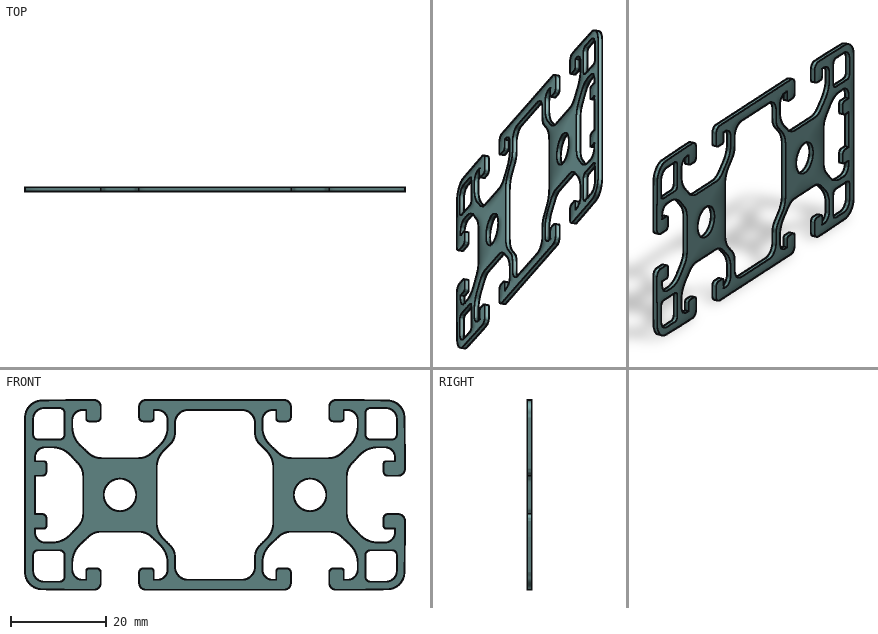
import cadquery as cq
import math

cell = 40.0
length = 2 * cell
half_height = cell / 2
half_length = length / 2
thickness = 1.0
cell_offset = cell / 2
bore_diameter = 6.8

corner_radius = 3.7
corner_drop = 0.2
drop_start = 8.9

slot_opening = 8.0
lip_width = 3.1
lip_depth = 4.6
lip_wall = 2.2
slot_half_width = 10.0
slot_floor = 7.8
slot_floor_half_width = 5.5
slot_diagonal_top = 12.0
slot_top_radius = 2.1
slot_side_radius = 5.2
slot_floor_radius = 3.8
lip_outer_radius = 1.5
lip_opening_radius = 1.0
lip_inner_radius = 0.6

corner_hole_start = 11.7
corner_hole_end = 18.2
corner_hole_outer_radius = 2.2
corner_hole_radius = 1.0

chamber_half_width = 8.4
chamber_waist = cell_offset - slot_floor
chamber_shoulder = 11.7
chamber_top_radius = 2.7
chamber_shoulder_radius = 3.2
chamber_waist_radius = 4.8


def rounded_outline(corners):
    """Closed XZ wire through (x, z, radius) corners, each rounded by a tangent arc."""
    rounded = []
    for i, (x, z, radius) in enumerate(corners):
        here = cq.Vector(x, z)
        before = (cq.Vector(*corners[i - 1][:2]) - here).normalized()
        after = (cq.Vector(*corners[(i + 1) % len(corners)][:2]) - here).normalized()
        half_angle = before.getAngle(after) / 2
        setback = radius / math.tan(half_angle)
        bisector = (before + after).normalized()
        middle = here + bisector * (radius / math.sin(half_angle) - radius)
        rounded.append((here + before * setback, middle, here + after * setback, radius))

    wire = cq.Workplane("XZ").moveTo(*rounded[0][2].toTuple()[:2])
    for start, middle, end, radius in rounded[1:] + rounded[:1]:
        wire = wire.lineTo(*start.toTuple()[:2])
        if radius > 0:
            wire = wire.threePointArc(middle.toTuple()[:2], end.toTuple()[:2])
    return wire.close()


def prism(corners):
    """Solid of the plate thickness with the given rounded outline."""
    return rounded_outline(corners).extrude(thickness / 2, both=True)


def mirrored(half):
    """Complete an outline from its +X half by mirroring it about X = 0."""
    return half + [(-x, z, radius) for x, z, radius in reversed(half)]


def plate():
    """Outer outline of the section."""
    flat_end = cell_offset + drop_start
    low = half_height - corner_drop
    upper = [
        (half_length, drop_start, 0),
        (half_length - corner_drop, low, corner_radius),
        (flat_end, half_height, 0),
        (-flat_end, half_height, 0),
        (-half_length, low, corner_radius),
    ]
    lower = [(x, -z, radius) for x, z, radius in reversed(upper)]
    return prism(upper + lower)


def slot_cavity():
    """Undercut space of an upward-facing slot, closed off at the lip wall."""
    lip_edge = slot_opening / 2
    lip_back = lip_edge + lip_width
    roof = half_height - lip_wall
    lip_bottom = half_height - lip_depth
    return prism(mirrored([
        (lip_edge, roof, 0),
        (lip_edge, lip_bottom, lip_opening_radius),
        (lip_back, lip_bottom, lip_inner_radius),
        (lip_back, roof, 0),
        (slot_half_width, roof, slot_top_radius),
        (slot_half_width, slot_diagonal_top, slot_side_radius),
        (slot_floor_half_width, slot_floor, slot_floor_radius),
    ]))


def slot_mouth():
    """Opening through the outer face, flared around the rounded lip ends."""
    lip_edge = slot_opening / 2
    roof = half_height - lip_wall
    above = half_height + lip_outer_radius
    return prism(mirrored([
        (lip_edge + 2 * lip_outer_radius, above, 0),
        (lip_edge + 2 * lip_outer_radius, half_height, 0),
        (lip_edge, half_height, lip_outer_radius),
        (lip_edge, roof, 0),
    ]))


def corner_hole():
    """Square hole in the upper +X corner of a cell."""
    return prism([
        (corner_hole_start, corner_hole_start, corner_hole_radius),
        (corner_hole_end, corner_hole_start, corner_hole_radius),
        (corner_hole_end, corner_hole_end, corner_hole_outer_radius),
        (corner_hole_start, corner_hole_end, corner_hole_radius),
    ])


def chamber():
    """Hollow between the cells, wider at mid-height than at its top and bottom."""
    roof = half_height - lip_wall
    waist_top = chamber_shoulder - (chamber_waist - chamber_half_width)
    quarter = [
        (chamber_waist, waist_top, chamber_waist_radius),
        (chamber_half_width, chamber_shoulder, chamber_shoulder_radius),
        (chamber_half_width, roof, chamber_top_radius),
    ]
    upper = mirrored(quarter)
    lower = [(x, -z, radius) for x, z, radius in reversed(upper)]
    return prism(upper + lower)


def turned(solid, angle):
    """Turn a solid about the axis of its cell, clockwise seen from -Y."""
    return solid.rotate((0, 0, 0), (0, 1, 0), angle)


bore = cq.Workplane("XZ").circle(bore_diameter / 2).extrude(thickness / 2, both=True)
open_slot = slot_cavity().union(slot_mouth())

result = plate().cut(chamber())
for side in (-1, 1):
    cell_cuts = [
        bore,
        open_slot,
        turned(open_slot, 180),
        turned(open_slot, 90) if side > 0 else turned(slot_cavity(), -90),
    ]
    outer_hole = corner_hole() if side > 0 else corner_hole().mirror("YZ")
    cell_cuts += [outer_hole, outer_hole.mirror("XY")]
    for cut in cell_cuts:
        result = result.cut(cut.translate((side * cell_offset, 0, 0)))